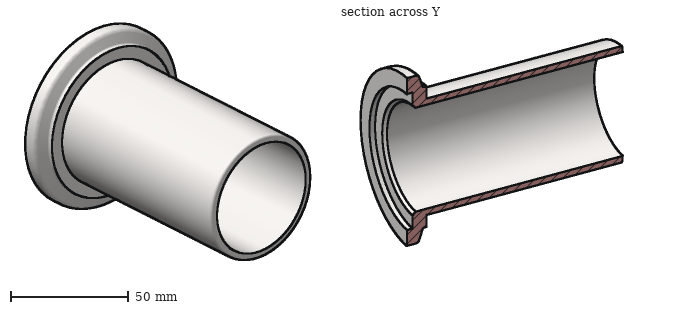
import cadquery as cq
import math

length = 104.9
flange_diameter = 82.6
tube_diameter = 57.4
bore_diameter = 50.8

neck_diameter = 69.0
neck_end = 9.7
rim_straight = 4.1
rim_radius = 2.3
neck_radius = 0.8
cone_angle = 18.0

recess_diameter = 66.5
recess_depth = 2.7
lead_in_diameter = 53.8
tube_end_radius = 1.2


def make_flange():
    """Disc with a conical back, blended into the rim and the neck."""
    rim = flange_diameter / 2
    neck = neck_diameter / 2
    cone_width = (rim - neck) * math.tan(math.radians(cone_angle))
    corner_trim = math.tan(math.radians((90 - cone_angle) / 2))
    cone_start = rim_straight + rim_radius * corner_trim

    sharp = (
        cq.Workplane("XY")
        .polyline([
            (0, 0),
            (0, rim),
            (cone_start, rim),
            (cone_start + cone_width, neck),
            (neck_end, neck),
            (neck_end, 0),
        ])
        .close()
        .revolve(360, (0, 0, 0), (1, 0, 0))
    )
    cone_edges = sharp.faces("%CONE").edges("%CIRCLE")
    return (
        sharp
        .newObject([cone_edges.edges("<X").val()]).fillet(rim_radius)
        .faces("%CONE").edges(">X").fillet(neck_radius)
    )


def make_tube():
    """Solid tube body with its free end rounded."""
    return (
        cq.Workplane("YZ")
        .circle(tube_diameter / 2)
        .extrude(length)
        .faces(">X").edges().fillet(tube_end_radius)
    )


def make_cavity():
    """Face recess, tapered lead-in and through bore as one solid."""
    recess = recess_diameter / 2
    lead_in = lead_in_diameter / 2
    bore = bore_diameter / 2
    lead_in_depth = lead_in - bore
    bore_start = recess_depth + lead_in_depth
    return (
        cq.Workplane("XY")
        .polyline([
            (0, 0),
            (0, recess),
            (recess_depth, recess),
            (recess_depth, lead_in),
            (bore_start, bore),
            (length, bore),
            (length, 0),
        ])
        .close()
        .revolve(360, (0, 0, 0), (1, 0, 0))
    )


result = make_flange().union(make_tube()).cut(make_cavity())